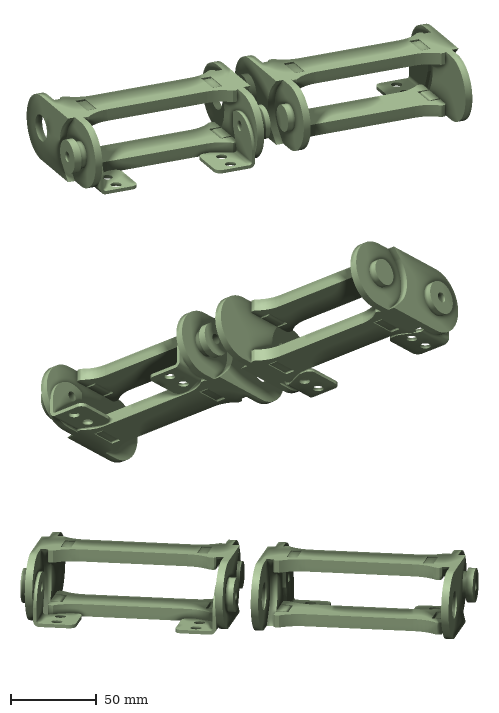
import cadquery as cq
import math

height = 40.0
end_radius = height / 2
pin_pitch = 45.5
pin_x = pin_pitch / 2
plate = 4.5
inner_width = 98.7
step_radius = 20.0
mid_y = inner_width / 2 + plate
outer_y = mid_y + plate

pin_diameter = 16.0
head_diameter = 20.0
head_height = 4.5
bore_diameter = 6.2

bar_thickness = 7.2
bar_waist = 22.7
bar_end_width = 33.5
bar_corner_chamfer = 1.0
bar_straight_end = 3.3
bar_flare_length = 14.2

tongue_width = 13.5
tongue_slit = 1.3
tongue_slit_depth = 3.0
tongue_root_length = 7.2
tongue_round = tongue_slit_depth
tongue_tip_inset = 6.2
tongue_tip_length = 6.2
tongue_tip_recess = 0.5

sheet = 2.0
bend_inner_radius = 1.5
bend_outer_radius = bend_inner_radius + sheet
bracket_back = -17.0
bracket_front = 8.8
bend_front = 4.0
flange_front = 9.8
flange_reach = 24.5
flange_corner_radius = 4.0
flange_slant_end = 16.7
flange_hole_diameter = 6.5
flange_hole_back = -10.8
flange_hole_spacing = 12.0
flange_hole_reach = 13.0
wall_arc_center_z = -8.8
wall_slant_z = -4.0

assembly_width = 2 * (outer_y + head_height)
assembly_gap = 7.7
link_y = (assembly_width + assembly_gap) / 2


def cylinder_y(x, diameter, y_start, y_end):
    """Cylinder along Y at pin height."""
    disc = cq.Workplane("XZ", origin=(x, y_start, 0)).circle(diameter / 2)
    return disc.extrude(y_start - y_end)


def plate_layer(y_start):
    """Layer with a round end at -X and a concave step at +X, one plate thickness toward +Y."""
    diagonal = step_radius * math.sqrt(0.5)
    step_top_x = pin_x - 2 * diagonal + end_radius
    step_tangent_x = pin_x - diagonal
    outline = (
        cq.Workplane("XZ", origin=(0, y_start, 0))
        .moveTo(-pin_x, end_radius)
        .lineTo(step_top_x, end_radius)
        .lineTo(step_tangent_x, diagonal)
        .threePointArc((pin_x - step_radius, 0), (step_tangent_x, -diagonal))
        .lineTo(step_top_x, -end_radius)
        .lineTo(-pin_x, -end_radius)
        .threePointArc((-pin_x - end_radius, 0), (-pin_x, end_radius))
        .close()
    )
    return outline.extrude(-plate)


def side_plate():
    """Side plate at +Y: bored outer layer at -X, inner layer with a pin at +X."""
    outer_layer = plate_layer(mid_y).cut(cylinder_y(-pin_x, pin_diameter, mid_y, outer_y))
    inner_layer = plate_layer(mid_y - plate).mirror("YZ")
    pin = cylinder_y(pin_x, pin_diameter, mid_y, outer_y)
    return outer_layer.union(inner_layer).union(pin)


def crossbar():
    """Upper crossbar: narrow waist flaring through arcs to wider ends, with a snap tongue at each end."""
    waist_x = bar_waist / 2
    end_x = bar_end_width / 2
    end_y = inner_width / 2
    flare_y = end_y - bar_straight_end
    quarter = (
        cq.Workplane("XY", origin=(0, 0, end_radius))
        .lineTo(waist_x, 0)
        .lineTo(waist_x, flare_y - bar_flare_length)
        .tangentArcPoint((end_x, flare_y), relative=False)
        .lineTo(end_x, end_y - bar_corner_chamfer)
        .lineTo(end_x - bar_corner_chamfer, end_y)
        .lineTo(0, end_y)
        .close()
        .extrude(-bar_thickness)
        .cut(tongue_slits(end_radius, tongue_tip_inset, tongue_tip_length))
        .cut(tongue_slits(end_radius - bar_thickness + tongue_slit_depth, 0, tongue_root_length))
        .cut(tongue_tip_pocket())
        .cut(tongue_root_relief())
    )
    half = quarter.union(quarter.mirror("YZ"))
    return half.union(half.mirror("XZ"))


def tongue_slits(top_z, inset, length):
    """Slits on both sides of the tongue, down from top_z and starting at the inset from the plate."""
    slit_x = (tongue_width + tongue_slit) / 2
    slit_y = inner_width / 2 - inset - length / 2
    return (
        cq.Workplane("XY", origin=(0, slit_y, top_z))
        .pushPoints([(-slit_x, 0), (slit_x, 0)])
        .rect(tongue_slit, length)
        .extrude(-tongue_slit_depth)
    )


def tongue_tip_pocket():
    """Small drop of the tongue tip below the outer face of the bar."""
    tip_y = inner_width / 2 - tongue_tip_inset - tongue_tip_length / 2
    tip = cq.Workplane("XY", origin=(0, tip_y, end_radius)).rect(tongue_width, tongue_tip_length)
    return tip.extrude(-tongue_tip_recess)


def tongue_root_relief():
    """Space beside the rounded edge of the tongue root on the inner face of the bar."""
    inner_z = end_radius - bar_thickness
    root_y = inner_width / 2 - tongue_root_length
    return (
        cq.Workplane("YZ", origin=(-tongue_width / 2, 0, 0))
        .moveTo(root_y + tongue_round, inner_z)
        .radiusArc((root_y, inner_z + tongue_round), tongue_round)
        .lineTo(root_y, inner_z)
        .close()
        .extrude(tongue_width)
    )


def link():
    """Complete link centred on the origin."""
    plate_at_back = side_plate()
    upper_bar = crossbar()
    lower_bar = upper_bar.mirror("XY")
    return plate_at_back.union(plate_at_back.mirror("XZ")).union(upper_bar).union(lower_bar)


def bracket_wall():
    """Upright sheet from the bend up to a round top, with its outer face on Y = 0."""
    wall_radius = -bracket_back
    foot_z = bend_outer_radius - end_radius
    arc_end_z = wall_arc_center_z + math.sqrt(wall_radius**2 - bracket_front**2)
    return (
        cq.Workplane("XZ")
        .moveTo(bracket_back, foot_z)
        .lineTo(bracket_back, wall_arc_center_z)
        .threePointArc((0, wall_arc_center_z + wall_radius), (bracket_front, arc_end_z))
        .lineTo(bracket_front, wall_slant_z)
        .lineTo(bend_front, foot_z)
        .close()
        .extrude(sheet)
    )


def bracket_bend():
    """Quarter bend between the upright wall and the flange."""
    foot_z = bend_outer_radius - end_radius
    inner_z = sheet - end_radius
    return (
        cq.Workplane("YZ", origin=(bracket_back, 0, 0))
        .moveTo(0, foot_z)
        .radiusArc((-bend_outer_radius, -end_radius), bend_outer_radius)
        .lineTo(-bend_outer_radius, inner_z)
        .radiusArc((-sheet, foot_z), -bend_inner_radius)
        .close()
        .extrude(bend_front - bracket_back)
    )


def bracket_flange():
    """Flat foot with rounded free corners and two mounting holes."""
    flange = (
        cq.Workplane("XY", origin=(0, 0, -end_radius))
        .moveTo(bracket_back, -bend_outer_radius)
        .lineTo(bend_front, -bend_outer_radius)
        .lineTo(flange_front, -flange_slant_end)
        .lineTo(flange_front, -flange_reach)
        .lineTo(bracket_back, -flange_reach)
        .close()
        .extrude(sheet)
        .edges("|Z and <Y")
        .fillet(flange_corner_radius)
    )
    holes = (
        cq.Workplane("XY", origin=(flange_hole_back, -flange_hole_reach, -end_radius))
        .pushPoints([(0, 0), (flange_hole_spacing, 0)])
        .circle(flange_hole_diameter / 2)
        .extrude(sheet)
    )
    return flange.cut(holes)


def bracket_sheet():
    """Bent sheet around a pin axis at X = 0, lying on a plate face at Y = 0 with the link toward +X."""
    return bracket_wall().union(bracket_bend()).union(bracket_flange())


def end_bracket():
    """Separate bracket for the +Y plate: its pin fills the plate hole at -X and ends in a head."""
    sheet_part = bracket_sheet().translate((-pin_x, mid_y, 0))
    pin = cylinder_y(-pin_x, pin_diameter, mid_y, outer_y)
    head = cylinder_y(-pin_x, head_diameter, outer_y, outer_y + head_height)
    bore = cylinder_y(-pin_x, bore_diameter, mid_y - sheet, outer_y + head_height)
    return sheet_part.union(pin).union(head).cut(bore)


def end_link():
    """Link with a fixed bracket and a headed, bored pin on both plates at +X."""
    face_y = mid_y - plate
    sheet_part = bracket_sheet().mirror("YZ").translate((pin_x, face_y, 0))
    head = cylinder_y(pin_x, head_diameter, outer_y, outer_y + head_height)
    bore = cylinder_y(pin_x, bore_diameter, face_y - sheet, outer_y + head_height)
    mount = sheet_part.union(head)
    return link().union(mount).union(mount.mirror("XZ")).cut(bore).cut(bore.mirror("XZ"))


start_link = link().translate((0, link_y, 0))
headed_link = end_link().translate((0, -link_y, 0))
bracket = end_bracket()
brackets = [piece.translate((0, link_y, 0)) for piece in (bracket, bracket.mirror("XZ"))]

result = cq.Compound.makeCompound(
    [start_link.val(), headed_link.val(), *[piece.val() for piece in brackets]]
)